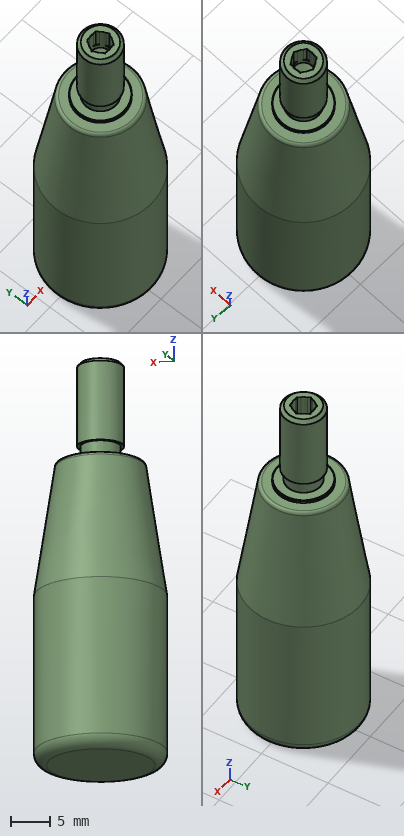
import cadquery as cq
import math

total_height = 53.4

grip_radius = 17.0 / 2
base_fillet = 1.6
taper_start = 22.45
grip_top = 40.0
grip_top_radius = 11.55 / 2
shoulder_fillet = 0.5

collar_radius = 8.0 / 2
collar_top = 40.4
collar_chamfer = 0.1
neck_radius = 5.1 / 2
stud_radius = 6.0 / 2
stud_bottom = 42.4
stud_chamfer = 0.5

socket_across_flats = 3.0
socket_depth = 3.2
pilot_diameter = 3.1
pilot_depth = 4.0
drill_point_angle = 120.0


def disc(radius, bottom, top):
    """Solid cylinder on the Z axis between two heights."""
    return cq.Workplane("XY").workplane(offset=bottom).circle(radius).extrude(top - bottom)


def make_grip():
    """Round grip with a tapered upper half and rounded ends."""
    grip = (
        cq.Workplane("XZ")
        .moveTo(0, 0)
        .lineTo(grip_radius, 0)
        .lineTo(grip_radius, taper_start)
        .lineTo(grip_top_radius, grip_top)
        .lineTo(0, grip_top)
        .close()
        .revolve(360, (0, 0), (0, 1))
    )
    grip = grip.faces("<Z").edges().fillet(base_fillet)
    return grip.faces(">Z").edges().fillet(shoulder_fillet)


def make_stud():
    """Chamfered collar, relieved neck and chamfered stud above the grip."""
    collar = disc(collar_radius, grip_top, collar_top).faces(">Z").chamfer(collar_chamfer)
    neck = disc(neck_radius, collar_top, stud_bottom)
    stud = disc(stud_radius, stud_bottom, total_height).faces(">Z").chamfer(stud_chamfer)
    return collar.union(neck).union(stud)


def make_socket():
    """Cutting tool for the hexagon, with corners on X, and its cone-ended pilot hole."""
    across_corners = socket_across_flats / math.cos(math.radians(30))
    hexagon = (
        cq.Workplane("XY")
        .workplane(offset=total_height)
        .polygon(6, across_corners)
        .extrude(-socket_depth)
    )
    pilot_radius = pilot_diameter / 2
    pilot_bottom = total_height - pilot_depth
    point_depth = pilot_radius / math.tan(math.radians(drill_point_angle / 2))
    pilot = (
        cq.Workplane("XZ")
        .moveTo(0, total_height)
        .lineTo(pilot_radius, total_height)
        .lineTo(pilot_radius, pilot_bottom)
        .lineTo(0, pilot_bottom - point_depth)
        .close()
        .revolve(360, (0, 0), (0, 1))
    )
    return hexagon.union(pilot)


result = make_grip().union(make_stud()).cut(make_socket())